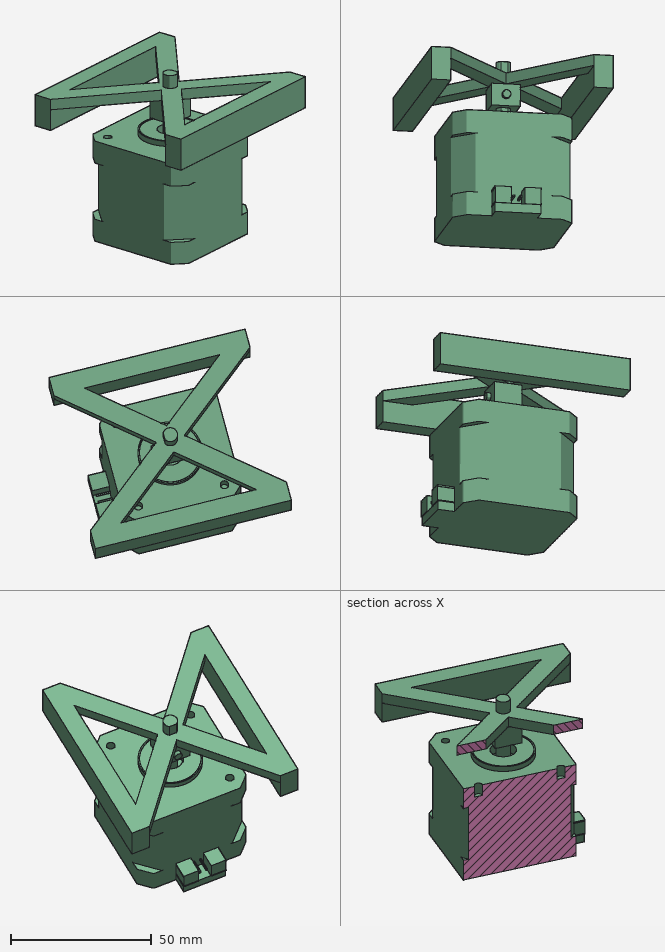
import cadquery as cq

motor_width = 43.2
motor_height = 38.7
corner_cut = 4.5
waist_corner_cut = 7.7
end_cap_height = 8.5
corner_blend_radius = 0.9
waist_height = motor_height - 2 * end_cap_height

mount_hole_diameter = 2.95
mount_hole_depth = 4.5
mount_hole_pitch = 31.6

boss_diameter = 22.9
boss_height = 2.0
boss_rim_diameter = 21.8
boss_rim_step = 0.15
bearing_recess_diameter = 9.35
bearing_recess_depth = 4.0

shaft_diameter = 5.2
shaft_top = 62.3
shaft_flat_offset = 2.2
shaft_flat_bottom = 43.8

connector_width = 16.85
connector_depth = 6.4
connector_height = 9.35
connector_base_depth = 6.1
connector_base_height = 3.3
connector_slot_width = 5.0
connector_side_inset = 0.15
connector_top_lip = 0.6
connector_bottom_lip = 0.3
pin_size = 0.65
pin_length = 5.25
pin_pitch = 2.6
pin_height = 6.3

frame_width = 65.7
frame_length = 72.0
frame_top = 57.3
arm_thickness = 4.0
bar_width = 7.0
bar_height = 12.0
window_tip = 5.05
hub_width = 10.4
frame_bottom = frame_top - bar_height
arm_bottom = frame_top - arm_thickness
bar_inner = frame_width / 2 - bar_width
half_length = frame_length / 2

screw_diameter = 2.95
screw_end = 6.7
screw_height = (arm_bottom + frame_bottom) / 2


def cut_corner_block(cut, height, bottom):
    """Square block with its four upright edges cut at 45 degrees and the cut's edges rounded."""
    return (
        cq.Workplane("XY", origin=(0, 0, bottom))
        .rect(motor_width, motor_width)
        .extrude(height)
        .edges("|Z")
        .chamfer(cut)
        .edges("|Z")
        .fillet(corner_blend_radius)
    )


def cylinder(diameter, bottom, top):
    return cq.Workplane("XY", origin=(0, 0, bottom)).circle(diameter / 2).extrude(top - bottom)


def make_shaft():
    """Round shaft from the bottom of the bearing recess, with a flat on its upper part."""
    bottom = motor_height + boss_height - bearing_recess_depth
    flat_cut = (
        cq.Workplane("XY", origin=(0, shaft_flat_offset, shaft_flat_bottom))
        .rect(shaft_diameter, shaft_diameter)
        .extrude(shaft_top - shaft_flat_bottom)
        .translate((0, shaft_diameter / 2, 0))
    )
    return cylinder(shaft_diameter, bottom, shaft_top).cut(flat_cut)


def wall_block(width, depth, bottom, top):
    """Block centred on X that starts at Y = 0 and reaches depth along +Y."""
    block = cq.Workplane("XY").box(width, depth, top - bottom, centered=(True, False, False))
    return block.translate((0, 0, bottom))


def make_connector():
    """Connector with a slot down to its base, two contact pins and shallow side grooves."""
    inner_width = connector_width - 2 * connector_side_inset
    groove_bottom = connector_base_height + connector_bottom_lip
    groove_top = connector_height - connector_top_lip

    connector = wall_block(inner_width, connector_base_depth, 0, connector_base_height)
    head = wall_block(inner_width, connector_depth, connector_base_height, connector_height)
    bottom_lip = wall_block(connector_width, connector_depth, connector_base_height, groove_bottom)
    top_lip = wall_block(connector_width, connector_depth, groove_top, connector_height)
    slot = wall_block(connector_slot_width, connector_depth, connector_base_height, connector_height)
    connector = connector.union(head.union(bottom_lip).union(top_lip).cut(slot))

    for side in (-1, 1):
        pin = wall_block(pin_size, pin_length, pin_height - pin_size / 2, pin_height + pin_size / 2)
        connector = connector.union(pin.translate((side * pin_pitch / 2, 0, 0)))
    return connector.translate((0, motor_width / 2, 0))


def make_motor():
    """Motor with its pilot boss, shaft and connector."""
    body = cut_corner_block(corner_cut, end_cap_height, 0)
    body = body.union(cut_corner_block(waist_corner_cut, waist_height, end_cap_height))
    body = body.union(cut_corner_block(corner_cut, end_cap_height, motor_height - end_cap_height))

    mount_holes = (
        cq.Workplane("XY", origin=(0, 0, motor_height - mount_hole_depth))
        .rect(mount_hole_pitch, mount_hole_pitch, forConstruction=True)
        .vertices()
        .circle(mount_hole_diameter / 2)
        .extrude(mount_hole_depth)
    )
    boss_top = motor_height + boss_height
    boss = cylinder(boss_diameter, motor_height, boss_top)
    rim_step = cylinder(boss_rim_diameter, boss_top - boss_rim_step, boss_top)
    recess = cylinder(bearing_recess_diameter, boss_top - bearing_recess_depth, boss_top)

    body = body.cut(mount_holes).union(boss).cut(rim_step).cut(recess)
    return body.union(make_shaft()).union(make_connector())


def make_screw():
    return (
        cq.Workplane("XZ", origin=(0, screw_end, screw_height))
        .circle(screw_diameter / 2)
        .extrude(screw_end - shaft_flat_offset)
    )


def make_cross():
    """Plate of the frame's full size, opened by two end notches and two triangular windows."""
    notch_depth = hub_width / 2
    arm_slope = (half_length - notch_depth) / bar_inner
    window_corner = arm_slope * (bar_inner - window_tip)

    cross = (
        cq.Workplane("XY", origin=(0, 0, arm_bottom))
        .rect(frame_width, frame_length)
        .extrude(arm_thickness)
    )
    for side in (-1, 1):
        notch = [
            (-bar_inner, side * half_length),
            (0, side * notch_depth),
            (bar_inner, side * half_length),
        ]
        window = [
            (side * window_tip, 0),
            (side * bar_inner, window_corner),
            (side * bar_inner, -window_corner),
        ]
        for outline in (notch, window):
            opening = cq.Workplane("XY", origin=(0, 0, arm_bottom)).polyline(outline).close()
            cross = cross.cut(opening.extrude(arm_thickness))
    return cross


def make_frame():
    """Two long bars joined by a cross of arms, with a square hub under the crossing."""
    frame = make_cross()
    for side in (-1, 1):
        bar = cq.Workplane("XY").box(bar_width, frame_length, bar_height, centered=(True, True, False))
        frame = frame.union(bar.translate((side * (frame_width - bar_width) / 2, 0, frame_bottom)))
    hub = (
        cq.Workplane("XY", origin=(0, 0, frame_bottom))
        .rect(hub_width, hub_width)
        .extrude(bar_height - arm_thickness)
    )
    return frame.union(hub).cut(make_shaft()).cut(make_screw())


motor = make_motor()
frame = make_frame()
screw = make_screw()

result = cq.Compound.makeCompound([motor.val(), frame.val(), screw.val()])